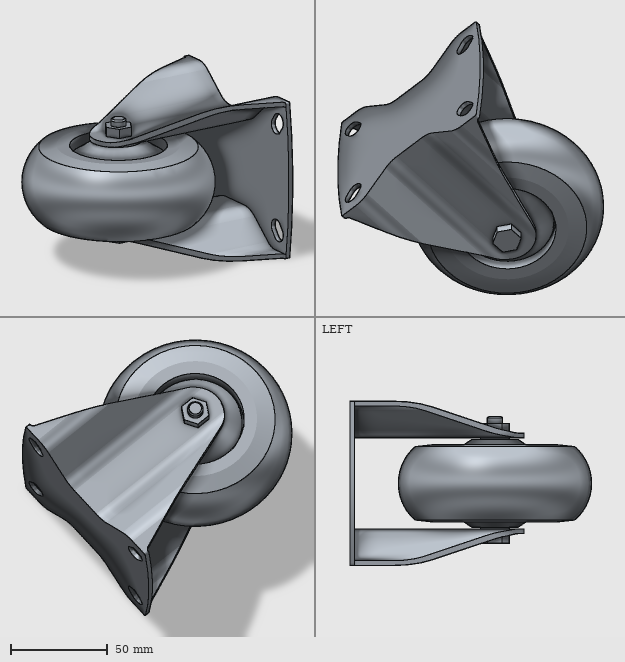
import math

import cadquery as cq


sheet = 2.5
plate_y = 75.0
plate_half_height = 42.5
plate_half_width = 50.0
plate_corner_half_width = 47.1
plate_corner_radius = 1.0

web_half_width = 8.5
web_outer_z = 26.0
bend_angle = math.radians(40)
bend_outer_radius = 12.5

fork_tip_radius = 15.1
fork_taper = math.radians(21.8)
fork_root_fillet = 2.0

slot_radius = 4.4
slot_x = 39.2
slot_z = 29.0
slot_run_x = 2.1
slot_run_z = 2.7

wheel_radius = 50.0
tread_radius = 25.0
tread_half_width = 19.0
rim_radius = 32.0
rim_half_width = 20.0
rim_bore_radius = 50.5 / 2
hub_body_radius = 48.5 / 2
hub_edge_z = 14.6
gap_depth = 3.0
hub_face_radius = 12.0
hub_half_width = 22.7
spacer_radius = 15.0 / 2

bolt_radius = 8.0 / 2
bolt_top_z = 34.6
bolt_chamfer = 0.8
hex_across_flats = 13.0
hex_height = 5.0

plate_inner_y = plate_y - sheet
web_inner_z = web_outer_z - sheet
gap_floor_z = hub_edge_z - gap_depth


def make_wheel():
    """Wheel with a round tread and a conical hub, set apart from the rim by an annular gap."""
    tread_centre = wheel_radius - tread_radius
    tread_edge = tread_centre + math.sqrt(tread_radius**2 - tread_half_width**2)
    upper = [
        (rim_radius, rim_half_width),
        (rim_bore_radius, rim_half_width),
        (rim_bore_radius, gap_floor_z),
        (hub_body_radius, gap_floor_z),
        (hub_body_radius, hub_edge_z),
        (hub_face_radius, hub_half_width),
        (spacer_radius, hub_half_width),
        (spacer_radius, web_inner_z),
        (0, web_inner_z),
    ]
    lower = [(r, -z) for r, z in reversed(upper)]
    profile = cq.Workplane("XZ").moveTo(tread_edge, -tread_half_width)
    profile = profile.threePointArc((wheel_radius, 0), (tread_edge, tread_half_width))
    for r, z in upper + lower:
        profile = profile.lineTo(r, z)
    return profile.close().revolve(360, (0, 0, 0), (0, 1, 0))


def channel_bends(inset):
    """Bend points of the right half of the channel, from the web to the wing.

    They lie on the surface `inset` below the outer surface of the sheet.
    """
    sin_bend = math.sin(bend_angle)
    cos_bend = math.cos(bend_angle)
    sin_half = math.sin(bend_angle / 2)
    cos_half = math.cos(bend_angle / 2)
    low_radius = bend_outer_radius + inset
    high_radius = bend_outer_radius - inset

    low_centre_z = web_outer_z + bend_outer_radius
    high_centre_z = plate_half_height - bend_outer_radius
    bend_rise = 2 * bend_outer_radius * (1 - cos_bend)
    slope_run = (plate_half_height - web_outer_z - bend_rise) / math.tan(bend_angle)
    high_centre_x = web_half_width + 2 * bend_outer_radius * sin_bend + slope_run

    return {
        "web": (web_half_width, low_centre_z - low_radius),
        "low_mid": (web_half_width + low_radius * sin_half, low_centre_z - low_radius * cos_half),
        "low_end": (web_half_width + low_radius * sin_bend, low_centre_z - low_radius * cos_bend),
        "high_start": (high_centre_x - high_radius * sin_bend, high_centre_z + high_radius * cos_bend),
        "high_mid": (high_centre_x - high_radius * sin_half, high_centre_z + high_radius * cos_half),
        "wing": (high_centre_x, high_centre_z + high_radius),
    }


def mirror_x(point):
    return (-point[0], point[1])


def draw_channel(sketch, inset):
    """Continue a sketch from the right wing across the channel to the left wing."""
    p = channel_bends(inset)
    sketch = sketch.lineTo(*p["wing"])
    sketch = sketch.threePointArc(p["high_mid"], p["high_start"])
    sketch = sketch.lineTo(*p["low_end"])
    sketch = sketch.threePointArc(p["low_mid"], p["web"])
    sketch = sketch.lineTo(*mirror_x(p["web"]))
    sketch = sketch.threePointArc(mirror_x(p["low_mid"]), mirror_x(p["low_end"]))
    sketch = sketch.lineTo(*mirror_x(p["high_start"]))
    return sketch.threePointArc(mirror_x(p["high_mid"]), mirror_x(p["wing"]))


def below_channel(inset, length):
    """Block bounded above by the channel surface and below by Z = 0.

    It starts at the outer face of the plate and runs towards -Y; its sides are flat.
    """
    top_z = plate_half_height - inset
    plane = cq.Plane((0, plate_y, 0), xDir=(1, 0, 0), normal=(0, -1, 0))
    sketch = cq.Workplane(plane).moveTo(plate_half_width, 0)
    sketch = sketch.lineTo(plate_half_width, top_z)
    sketch = draw_channel(sketch, inset)
    sketch = sketch.lineTo(-plate_half_width, top_z).lineTo(-plate_half_width, 0)
    return sketch.close().extrude(length)


def bulged_sides(length):
    """Block whose left and right sides bulge and whose four corners are rounded."""
    x = plate_corner_half_width
    z = plate_half_height
    plane = cq.Plane((0, plate_y, 0), xDir=(1, 0, 0), normal=(0, -1, 0))
    sketch = cq.Workplane(plane).moveTo(-x, z).lineTo(x, z)
    sketch = sketch.threePointArc((plate_half_width, 0), (x, -z))
    sketch = sketch.lineTo(-x, -z)
    sketch = sketch.threePointArc((-plate_half_width, 0), (-x, z)).close()
    return sketch.extrude(length).edges("|Y").fillet(plate_corner_radius)


def fork_outline():
    """Prism along Z: tapered legs with a round tip, flared into the plate edge."""
    tangent_x = fork_tip_radius * math.cos(fork_taper)
    tangent_y = -fork_tip_radius * math.sin(fork_taper)
    root_x = tangent_x + (plate_inner_y - tangent_y) * math.tan(fork_taper)
    prism = (
        cq.Workplane("XY")
        .moveTo(tangent_x, tangent_y)
        .lineTo(root_x, plate_inner_y)
        .lineTo(plate_half_width, plate_inner_y)
        .lineTo(plate_half_width, plate_y)
        .lineTo(-plate_half_width, plate_y)
        .lineTo(-plate_half_width, plate_inner_y)
        .lineTo(-root_x, plate_inner_y)
        .lineTo(-tangent_x, tangent_y)
        .threePointArc((0, -fork_tip_radius), (tangent_x, tangent_y))
        .close()
        .extrude(plate_half_height)
    )
    half_height = plate_half_height / 2
    right_root = cq.selectors.NearestToPointSelector((root_x, plate_inner_y, half_height))
    left_root = cq.selectors.NearestToPointSelector((-root_x, plate_inner_y, half_height))
    return prism.edges(right_root + left_root).fillet(fork_root_fillet)


def cut_slots(plate):
    """Cut the four oblique slots, each running towards the plate centre."""
    length = math.hypot(slot_run_x, slot_run_z) + 2 * slot_radius
    lean = math.degrees(math.atan2(slot_run_z, slot_run_x))
    for side_x in (-1, 1):
        for side_z in (-1, 1):
            plane = cq.Plane(
                (side_x * slot_x, plate_y, side_z * slot_z), xDir=(1, 0, 0), normal=(0, -1, 0)
            )
            slot = cq.Workplane(plane).slot2D(length, 2 * slot_radius, side_x * side_z * lean)
            plate = plate.cut(slot.extrude(sheet))
    return plate


def make_bracket():
    """U-shaped sheet bracket: slotted plate with a pressed fork leg on each side."""
    depth = plate_y + fork_tip_radius
    leg = below_channel(0, depth).cut(below_channel(sheet, depth)).intersect(fork_outline())
    half_plate = below_channel(0, sheet)
    half = leg.union(half_plate)
    bracket = half.union(half.mirror("XY")).intersect(bulged_sides(depth))
    return cut_slots(bracket)


def make_bolt():
    """Axle bolt with a hexagon against each fork leg and a chamfered end on top."""
    corner_angle = 360 / 6
    hex_across_corners = hex_across_flats / math.cos(math.radians(corner_angle / 2))
    shank = cq.Workplane("XY").circle(bolt_radius).extrude(bolt_top_z)
    shank = shank.faces(">Z").chamfer(bolt_chamfer)
    hexagon = cq.Workplane("XY").polygon(6, hex_across_corners).extrude(hex_height)
    hexagon = hexagon.rotate((0, 0, 0), (0, 0, 1), corner_angle / 2)
    nut = hexagon.translate((0, 0, web_outer_z))
    head = hexagon.translate((0, 0, -web_outer_z - hex_height))
    return shank.union(nut).union(head)


result = make_bracket().union(make_wheel()).union(make_bolt())